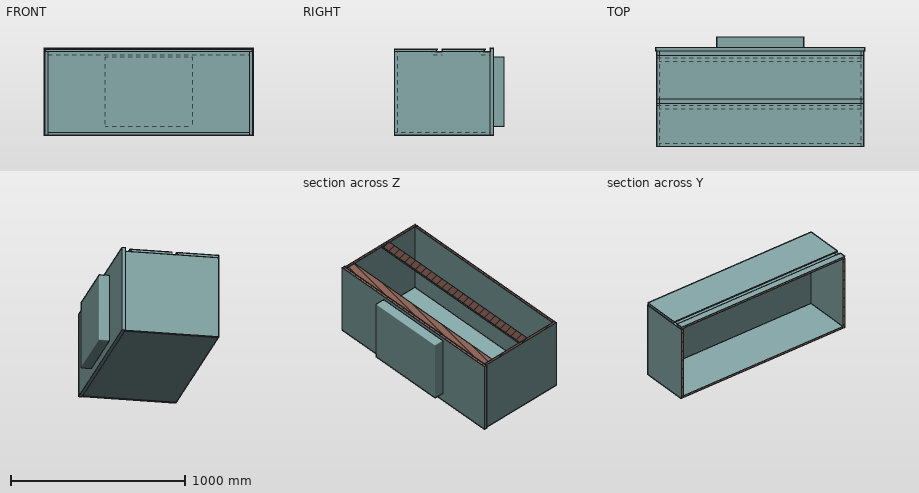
import cadquery as cq

counter_width = 1200.0
counter_height = 500.0
counter_thickness = 20.0

carcass_overhang = 5.0
carcass_width = counter_width - 2 * carcass_overhang
carcass_length = 550.0
side_height = 480.0
side_thickness = 18.0
back_thickness = 15.0
floor_thickness = 18.0
inner_width = carcass_width - 2 * side_thickness

front_count = 2
front_inset = 2.0
front_width = carcass_width - 2 * front_inset
front_thickness = 15.0
front_lip = 4.0
grip_depth = front_thickness - front_lip
finger_gap = 28.0
front_pitch = carcass_length / front_count
front_length = front_pitch - finger_gap
rail_length = 60.0
rail_thickness = 18.0

basin_width = 500.0
basin_depth = 400.0
basin_height = 60.0
basin_corner_radius = 5.0
basin_rim_radius = 4.0


def block(width, length, height, y, z):
    """Box centred on X, starting at the given Y and Z."""
    return cq.Workplane("XY").box(width, length, height, centered=(True, False, False)).translate((0, y, z))


def make_side(direction):
    """Side panel; direction is -1 for the -X side and 1 for the +X side."""
    x = direction * (inner_width + side_thickness) / 2
    return block(side_thickness, carcass_length, side_height, 0, 0).translate((x, 0, 0))


def make_front(index):
    """Drawer front whose +Y edge is undercut at 45 degrees below a thin lip, as a finger grip."""
    y = index * front_pitch
    tip_y = y + front_length
    top_z = side_height + front_thickness
    profile = [
        (y, side_height),
        (tip_y - grip_depth, side_height),
        (tip_y, side_height + grip_depth),
        (tip_y, top_z),
        (y, top_z),
    ]
    return cq.Workplane("YZ").polyline(profile).close().extrude(front_width / 2, both=True)


def make_rail(index):
    """Rail level with the side panels, under the finger gap of one front."""
    y = (index + 1) * front_pitch - rail_length
    return block(inner_width, rail_length, rail_thickness, y, side_height - rail_thickness)


def make_basin():
    """Basin with rounded corners and a rounded rim around its +Y face."""
    z = (counter_height - basin_depth) / 2
    basin = block(basin_width, basin_height, basin_depth, carcass_length + counter_thickness, z)
    basin = basin.edges("|Y").fillet(basin_corner_radius)
    return basin.faces(">Y").edges().fillet(basin_rim_radius)


counter = block(counter_width, counter_thickness, counter_height, carcass_length, 0)
back = block(inner_width, carcass_length, back_thickness, 0, 0)
floor = block(inner_width, floor_thickness, side_height - back_thickness, 0, back_thickness)
sides = [make_side(direction) for direction in (-1, 1)]
fronts = [make_front(index) for index in range(front_count)]
rails = [make_rail(index) for index in range(front_count)]
basin = make_basin()

bodies = [counter, back, floor, basin, *sides, *fronts, *rails]
result = cq.Compound.makeCompound([body.val() for body in bodies])